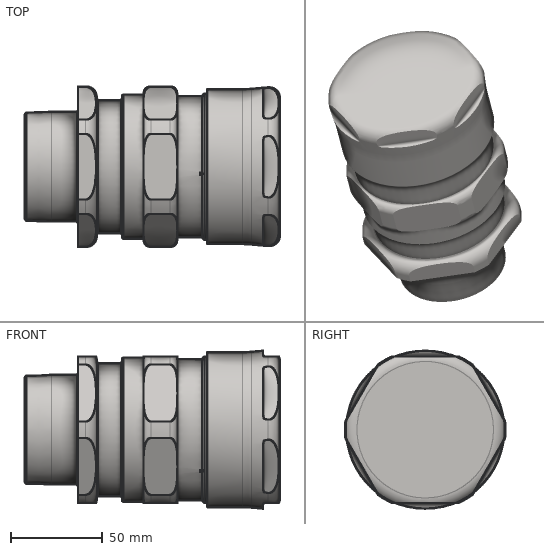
import cadquery as cq
import math

across_flats = 80.3
corner_diameter = 88.0
hex_sides = 6

spigot_tip_diameter = 56.8
spigot_nose_diameter = 59.3
spigot_diameter = 60.3
spigot_tip_chamfer = 1.0
spigot_taper_end = 14.7
root_chamfer = 0.5
front_hex_start = 29.2
front_hex_end = 39.6
front_hex_round = 6.2
neck_diameter = 73.0

coupling_start = 53.3
collar_diameter = 79.2
collar_chamfer = 0.8
middle_hex_start = 65.2
middle_hex_end = 83.7
middle_hex_round = 4.0
barrel_diameter = 77.7

radial_hole_diameter = 1.4
radial_hole_depth = 1.4
radial_hole_x = 96.7
radial_hole_count = 3
radial_hole_tilt = 5.8

seal_start = 97.3
seal_diameter = 80.2

cap_start = 99.9
cap_end = 140.0
cap_diameter = 85.1
cap_front_fillet = 0.8
flare_start = 119.5
flare_cone_start = 124.3
flare_angle = 5.0
cap_flats_start = 130.7
cap_flats_root_fillet = 0.8
cap_rear_fillet = 6.2


def hex_prism(start, end):
    """Hexagonal prism along X with two of its flats facing +Z and -Z."""
    across_corners = across_flats / math.cos(math.pi / hex_sides)
    return cq.Workplane("YZ", origin=(start, 0, 0)).polygon(hex_sides, across_corners).extrude(end - start)


def cylinder(start, end, diameter):
    """Cylinder along X."""
    return cq.Workplane("YZ", origin=(start, 0, 0)).circle(diameter / 2).extrude(end - start)


def turned(outline):
    """Solid of revolution about X from an open outline of (x, radius)."""
    return outline.close().revolve(360, (0, 0, 0), (1, 0, 0))


def hexagon(start, end, rounding, round_front):
    """Hexagon with turned corners, rounded off at the rear and optionally at the front."""
    blank = cylinder(start, end, corner_diameter).faces(">X").edges().fillet(rounding)
    if round_front:
        blank = blank.faces("<X").edges().fillet(rounding)
    return blank.intersect(hex_prism(start, end))


def make_entry_body():
    """Spigot, front hexagon and neck."""
    spigot_radius = spigot_diameter / 2
    neck_radius = neck_diameter / 2
    shaft = turned(
        cq.Workplane("XY")
        .lineTo(0, spigot_tip_diameter / 2)
        .lineTo(spigot_tip_chamfer, spigot_nose_diameter / 2)
        .lineTo(spigot_taper_end, spigot_radius)
        .lineTo(front_hex_start - root_chamfer, spigot_radius)
        .lineTo(front_hex_start, spigot_radius + root_chamfer)
        .lineTo(front_hex_end, neck_radius + root_chamfer)
        .lineTo(front_hex_end + root_chamfer, neck_radius)
        .lineTo(coupling_start - root_chamfer, neck_radius)
        .lineTo(coupling_start, neck_radius + root_chamfer)
        .lineTo(coupling_start, 0)
    )
    return shaft.union(hexagon(front_hex_start, front_hex_end, front_hex_round, round_front=False))


def make_coupling():
    """Collar, middle hexagon and barrel, with radial holes near the end of the barrel."""
    collar = cylinder(coupling_start, middle_hex_start, collar_diameter)
    collar = collar.faces("<X").edges().chamfer(collar_chamfer)
    barrel = cylinder(middle_hex_start, cap_start, barrel_diameter)
    middle_hex = hexagon(middle_hex_start, middle_hex_end, middle_hex_round, round_front=True)
    coupling = collar.union(middle_hex).union(barrel)
    for index in range(radial_hole_count):
        angle = radial_hole_tilt + index * 360 / radial_hole_count
        hole = (
            cq.Workplane("XY", origin=(radial_hole_x, 0, barrel_diameter / 2 - radial_hole_depth))
            .circle(radial_hole_diameter / 2)
            .extrude(2 * radial_hole_depth)
            .rotate((0, 0, 0), (1, 0, 0), angle)
        )
        coupling = coupling.cut(hole)
    return coupling


def make_seal_ring():
    """Ring on the end of the barrel, just overlapping the rear edges of the radial holes."""
    barrel_radius = barrel_diameter / 2
    seal_radius = seal_diameter / 2
    return turned(
        cq.Workplane("XY")
        .moveTo(seal_start, barrel_radius)
        .lineTo(seal_start + seal_radius - barrel_radius, seal_radius)
        .lineTo(cap_start, seal_radius)
        .lineTo(cap_start, barrel_radius)
    )


def make_cap():
    """Turned cap that flares towards the rear, where six wrench flats are cut into it."""
    radius = cap_diameter / 2
    slope = math.tan(math.radians(flare_angle))
    cone_start_radius = radius + (flare_cone_start - flare_start) * math.tan(math.radians(flare_angle / 2))
    rear_radius = cone_start_radius + (cap_end - flare_cone_start) * slope
    blank = turned(
        cq.Workplane("XY")
        .moveTo(cap_start, 0)
        .lineTo(cap_start, radius)
        .lineTo(flare_start, radius)
        .tangentArcPoint((flare_cone_start, cone_start_radius), relative=False)
        .lineTo(cap_end, rear_radius)
        .lineTo(cap_end, 0)
    )
    blank = blank.faces("<X").edges().fillet(cap_front_fillet).faces(">X").edges().fillet(cap_rear_fillet)
    wrench_flats = cylinder(cap_flats_start, cap_end, 2 * rear_radius).cut(hex_prism(cap_flats_start, cap_end))
    cap = blank.cut(wrench_flats)
    flat_root = cq.selectors.BoxSelector(
        (cap_flats_start - cap_flats_root_fillet, -across_flats, -across_flats),
        (cap_flats_start + cap_flats_root_fillet, across_flats, across_flats),
    )
    return cap.edges("%LINE").edges(flat_root).fillet(cap_flats_root_fillet)


entry_body = make_entry_body()
coupling = make_coupling()
seal_ring = make_seal_ring()
cap = make_cap()

result = cq.Compound.makeCompound([entry_body.val(), coupling.val(), seal_ring.val(), cap.val()])